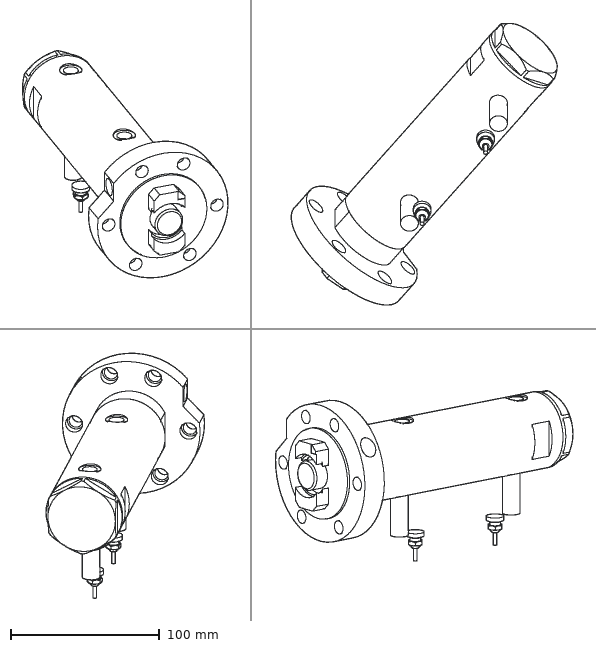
import cadquery as cq
import math


cap_hex_length = 8.8
cap_collar_length = 2.5
tube_start = cap_hex_length + cap_collar_length
tube_end = 169.0
flange_start = 184.6
flange_thickness = 17.0
flange_end = flange_start + flange_thickness
gland_rim_thickness = 1.9
gland_rim_end = flange_end + gland_rim_thickness
rod_end = 214.0
gland_start = 132.1
spigot_end = 34.8

barrel_radius = 26.0
bore_radius = 20.0
across_flats = 46.0
wrench_flat_start = 20.8
wrench_flat_length = 15.0

port_stations = (30.5, 130.0)
port_diameter = 10.0
port_seat_diameter = 15.0
port_seat_height = 24.8

cap_chamfer = 3.0
cap_plug_length = 10.0
spigot_radius = 16.0

flange_radius = 47.0
bolt_circle_radius = 39.0
bolt_hole_diameter = 9.0
bolt_recess_diameter = 11.5
bolt_recess_depth = 6.3
upper_bolt_angle = math.degrees(math.atan2(12, 5))
bolt_angles = (0, upper_bolt_angle, 180 - upper_bolt_angle, 180, 240, 300)
notch_offset = 35.4
notch_corner_height = 17.4
cross_hole_diameter = 11.8
cross_hole_height = 24.0

rod_radius = 10.0
rod_chamfer = 1.3
gland_rim_radius = 31.0
tenon_width = 22.0
tenon_height = 46.0
tenon_chamfer = 4.0
tenon_bore_radius = 13.5
tenon_counterbore_radius = 14.8
tenon_counterbore_start = 208.6
pad_thickness = 0.6
pad_width = 5.0
pad_height = 6.0

sensor_stations = (34.9, 132.5)
sensor_radius = 6.0
sensor_top = -22.0
sensor_bottom = -53.6

plug_stations = (49.0, 118.6)
plug_top = -53.4
plug_disc_radius = 6.0
plug_disc_bottom = -56.2
plug_taper_bottom = -57.2
plug_neck_radius = 3.7
nut_top = -59.3
nut_bottom = -62.2
nut_across_flats = 9.2
nut_angle = 22.0
nut_chamfer = 0.7
plug_cone_top_radius = 4.2
plug_cone_bottom_radius = 2.2
plug_cone_bottom = -64.6
cable_radius = 1.3
overall_height = 120.4
cable_bottom = flange_radius - overall_height


def x_cylinder(radius, start, end):
    """Cylinder about the main axis between two X stations."""
    return cq.Workplane("YZ").workplane(offset=start).circle(radius).extrude(end - start)


def z_cylinder(radius, x, bottom, top):
    """Vertical cylinder on the centre plane Y = 0."""
    return cq.Workplane("XY").workplane(offset=bottom).center(x, 0).circle(radius).extrude(top - bottom)


def flat_sided(body, start, end):
    """Cut two wrench flats, facing -Y and +Y, between two X stations."""
    depth = barrel_radius - across_flats / 2
    for side in (-1, 1):
        y_middle = side * (across_flats + depth) / 2
        cutter = cq.Workplane("XY").box(end - start, depth, 2 * barrel_radius)
        body = body.cut(cutter.translate(((start + end) / 2, y_middle, 0)))
    return body


def make_tube():
    tube = x_cylinder(barrel_radius, tube_start, tube_end)
    tube = tube.cut(x_cylinder(bore_radius, tube_start, tube_end))
    tube = flat_sided(tube, wrench_flat_start, wrench_flat_start + wrench_flat_length)
    for x in port_stations:
        tube = tube.cut(z_cylinder(port_seat_diameter / 2, x, port_seat_height, barrel_radius))
        tube = tube.cut(z_cylinder(port_diameter / 2, x, 0, barrel_radius))
    for x in sensor_stations:
        tube = tube.cut(z_cylinder(sensor_radius, x, sensor_bottom, sensor_top))
    return tube


def make_cap():
    """Hexagon-headed plug with a collar and a slimmer inner spigot."""
    hexagon = (
        cq.Workplane("YZ")
        .polygon(6, across_flats, circumscribed=True)
        .extrude(cap_hex_length)
    )
    turned_blank = x_cylinder(barrel_radius, 0, cap_hex_length).faces("<X").chamfer(cap_chamfer)
    cap = hexagon.intersect(turned_blank)
    cap = cap.union(x_cylinder(barrel_radius, cap_hex_length, tube_start))
    cap = cap.union(x_cylinder(bore_radius, tube_start, tube_start + cap_plug_length))
    return cap.union(x_cylinder(spigot_radius, tube_start + cap_plug_length, spigot_end))


def make_flange():
    """Mounting flange with its flat-sided neck, bored for the gland."""
    neck = flat_sided(x_cylinder(barrel_radius, tube_end, flange_start), tube_end, flange_start)
    flange = neck.union(x_cylinder(flange_radius, flange_start, flange_end))

    notch_reach = flange_radius - notch_offset
    notch = (
        cq.Workplane("YZ")
        .workplane(offset=flange_start)
        .moveTo(-notch_offset, flange_radius)
        .lineTo(-notch_offset, notch_corner_height)
        .lineTo(-flange_radius, notch_corner_height - notch_reach)
        .lineTo(-flange_radius, flange_radius)
        .close()
        .extrude(flange_thickness)
    )
    flange = flange.cut(notch)

    for angle in bolt_angles:
        y = bolt_circle_radius * math.cos(math.radians(angle))
        z = bolt_circle_radius * math.sin(math.radians(angle))
        hole = x_cylinder(bolt_hole_diameter / 2, flange_start, flange_end)
        recess = x_cylinder(bolt_recess_diameter / 2, flange_start, flange_start + bolt_recess_depth)
        flange = flange.cut(hole.union(recess).translate((0, y, z)))

    cross_hole = (
        cq.Workplane("XZ")
        .center((flange_start + flange_end) / 2, cross_hole_height)
        .circle(cross_hole_diameter / 2)
        .extrude(flange_radius, both=True)
    )
    return flange.cut(cross_hole).cut(x_cylinder(bore_radius, tube_end, flange_end))


def make_gland():
    """Rod guide with an outer rim and two driving tenons left by the large bore."""
    gland = x_cylinder(bore_radius, gland_start, flange_end)
    gland = gland.union(x_cylinder(gland_rim_radius, flange_end, gland_rim_end))

    tenon = (
        cq.Workplane("YZ")
        .workplane(offset=gland_rim_end)
        .rect(tenon_width, tenon_height)
        .extrude(rod_end + pad_thickness - gland_rim_end)
        .edges("|X")
        .chamfer(tenon_chamfer)
    )
    pad = (
        cq.Workplane("YZ")
        .workplane(offset=rod_end)
        .center((tenon_width - pad_width) / 2, (tenon_height - pad_height) / 2)
        .rect(pad_width, pad_height)
        .extrude(pad_thickness)
    )
    end_relief = (
        cq.Workplane("YZ")
        .workplane(offset=rod_end)
        .rect(tenon_width, tenon_height)
        .extrude(pad_thickness)
        .cut(pad)
    )
    tenon = tenon.cut(end_relief)
    tenon = tenon.cut(x_cylinder(tenon_bore_radius, gland_rim_end, rod_end))
    tenon = tenon.cut(x_cylinder(tenon_counterbore_radius, tenon_counterbore_start, rod_end))
    return gland.union(tenon).cut(x_cylinder(rod_radius, gland_start, gland_rim_end))


def make_rod():
    return x_cylinder(rod_radius, spigot_end, rod_end).faces(">X").chamfer(rod_chamfer)


def make_sensor(x):
    return z_cylinder(sensor_radius, x, sensor_bottom, sensor_top)


def make_plug(x):
    """Cable plug: turned disc, neck, cone and cable, with a hexagon nut around the neck."""
    turned = (
        cq.Workplane("XZ")
        .moveTo(0, plug_top)
        .lineTo(plug_disc_radius, plug_top)
        .lineTo(plug_disc_radius, plug_disc_bottom)
        .lineTo(plug_neck_radius, plug_taper_bottom)
        .lineTo(plug_neck_radius, nut_bottom)
        .lineTo(plug_cone_top_radius, nut_bottom)
        .lineTo(plug_cone_bottom_radius, plug_cone_bottom)
        .lineTo(cable_radius, plug_cone_bottom)
        .lineTo(cable_radius, cable_bottom)
        .lineTo(0, cable_bottom)
        .close()
        .revolve(360, (0, 0, 0), (0, 1, 0))
    )
    nut = (
        cq.Workplane("XY")
        .workplane(offset=nut_bottom)
        .polygon(6, nut_across_flats, circumscribed=True)
        .extrude(nut_top - nut_bottom)
        .rotate((0, 0, 0), (0, 0, 1), nut_angle)
    )
    nut_corner_radius = nut_across_flats / math.sqrt(3)
    nut_blank = z_cylinder(nut_corner_radius, 0, nut_bottom, nut_top).edges().chamfer(nut_chamfer)
    nut = nut.intersect(nut_blank)
    return turned.union(nut).translate((x, 0, 0))


tube = make_tube()
cap = make_cap()
flange = make_flange()
gland = make_gland()
rod = make_rod()
sensors = [make_sensor(x) for x in sensor_stations]
plugs = [make_plug(x) for x in plug_stations]

result = cq.Compound.makeCompound(
    [body.val() for body in (tube, cap, flange, gland, rod, *sensors, *plugs)]
)